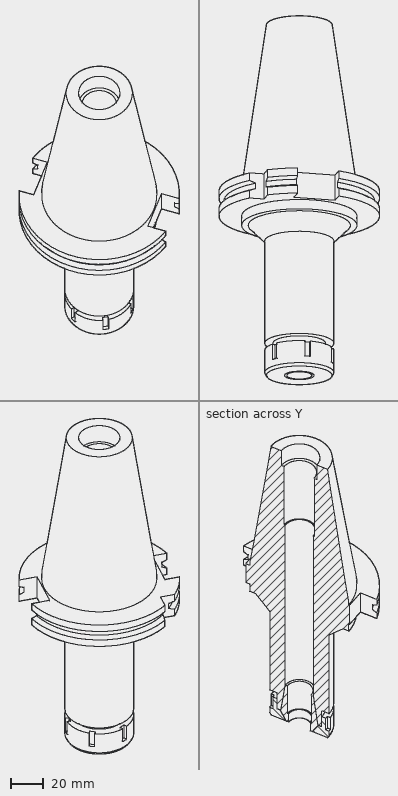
import cadquery as cq
import math


taper_length = 101.75
gauge_radius = 69.85 / 2
taper_ratio = 7 / 24
taper_top_radius = gauge_radius - taper_length * taper_ratio / 2

flange_radius = 97.5 / 2
flange_top_z = -3.2
flange_bottom_z = -19.1
groove_center_z = (flange_top_z + flange_bottom_z) / 2
groove_mouth_width = 6.3
groove_floor_width = 3.4
groove_floor_radius = 45.7
drive_slot_width = 25.7
drive_slot_left_depth = 37.7
drive_slot_right_depth = 35.5
notch_offset_x = 29.7
notch_offset_y = 29.6

hub_radius = 35.0
hub_bottom_z = -25.0
shoulder_top_radius = 31.0
shoulder_height = 10.0
shank_radius = 21.0
shank_bottom_z = -99.7
spigot_radius = 16.0
spigot_bottom_z = -113.0

pull_bore_radius = 12.5
pull_bore_depth = 12.0
thread_bore_radius = 10.5
thread_bore_depth = 60.0
thread_bore_bottom_z = taper_length - thread_bore_depth
through_bore_radius = 9.8

collet_half_angle = math.radians(8)
collet_radius = 13.0
collet_taper_length = (collet_radius - through_bore_radius) / math.tan(collet_half_angle)
collet_back_z = spigot_bottom_z + collet_taper_length
collet_nose_angle = math.radians(30)
collet_relief_radius = 8.3
collet_grip_radius = 7.6

nut_radius = 21.0
nut_top_z = -104.2
nut_bottom_z = -120.0
nut_chamfer_width = 1.1
nut_chamfer_height = 1.8
nut_slot_count = 6
nut_slot_width = 3.5
nut_slot_floor_radius = 18.8
nut_slot_bottom_z = -113.8

collet_nose_radius = collet_radius - (spigot_bottom_z - nut_bottom_z) * math.tan(collet_nose_angle)


def revolved(outline):
    """Solid of revolution about Z from (radius, z) points."""
    return cq.Workplane("YZ").polyline(outline).close().revolve(360, (0, 0, 0), (0, 1, 0))


def flange_cutter(x_min, x_max, y_min, y_max):
    """Block through the full flange thickness."""
    size_z = flange_top_z - flange_bottom_z
    block = cq.Workplane("XY").box(x_max - x_min, y_max - y_min, size_z, centered=False)
    return block.translate((x_min, y_min, flange_bottom_z))


def make_holder():
    holder = revolved([
        (pull_bore_radius, taper_length),
        (taper_top_radius, taper_length),
        (gauge_radius, 0),
        (gauge_radius, flange_top_z),
        (flange_radius, flange_top_z),
        (flange_radius, groove_center_z + groove_mouth_width / 2),
        (groove_floor_radius, groove_center_z + groove_floor_width / 2),
        (groove_floor_radius, groove_center_z - groove_floor_width / 2),
        (flange_radius, groove_center_z - groove_mouth_width / 2),
        (flange_radius, flange_bottom_z),
        (hub_radius, flange_bottom_z),
        (hub_radius, hub_bottom_z),
        (shoulder_top_radius, hub_bottom_z),
        (shank_radius, hub_bottom_z - shoulder_height),
        (shank_radius, shank_bottom_z),
        (spigot_radius, shank_bottom_z),
        (spigot_radius, spigot_bottom_z),
        (collet_radius, spigot_bottom_z),
        (through_bore_radius, collet_back_z),
        (through_bore_radius, thread_bore_bottom_z),
        (thread_bore_radius, thread_bore_bottom_z),
        (thread_bore_radius, taper_length - pull_bore_depth),
        (pull_bore_radius, taper_length - pull_bore_depth),
    ])
    half_slot = drive_slot_width / 2
    left_slot = flange_cutter(-flange_radius, -drive_slot_left_depth, -half_slot, half_slot)
    right_slot = flange_cutter(drive_slot_right_depth, flange_radius, -half_slot, half_slot)
    notch = flange_cutter(-flange_radius, -notch_offset_x, notch_offset_y, flange_radius)
    return holder.cut(left_slot).cut(right_slot).cut(notch)


def make_nut():
    nut = revolved([
        (spigot_radius, nut_top_z),
        (nut_radius, nut_top_z),
        (nut_radius, nut_bottom_z + nut_chamfer_height),
        (nut_radius - nut_chamfer_width, nut_bottom_z),
        (collet_nose_radius, nut_bottom_z),
        (collet_radius, spigot_bottom_z),
        (spigot_radius, spigot_bottom_z),
    ])
    slot = cq.Workplane("XY").box(
        nut_radius - nut_slot_floor_radius,
        nut_slot_width,
        nut_top_z - nut_slot_bottom_z,
        centered=(False, True, False),
    ).translate((nut_slot_floor_radius, 0, nut_slot_bottom_z))
    for index in range(nut_slot_count):
        nut = nut.cut(slot.rotate((0, 0, 0), (0, 0, 1), index * 360 / nut_slot_count))
    return nut


def make_collet():
    return revolved([
        (collet_relief_radius, collet_back_z),
        (through_bore_radius, collet_back_z),
        (collet_radius, spigot_bottom_z),
        (collet_nose_radius, nut_bottom_z),
        (collet_grip_radius, nut_bottom_z),
        (collet_grip_radius, spigot_bottom_z),
        (collet_relief_radius, spigot_bottom_z),
    ])


holder = make_holder()
nut = make_nut()
collet = make_collet()

result = cq.Compound.makeCompound([holder.val(), nut.val(), collet.val()])